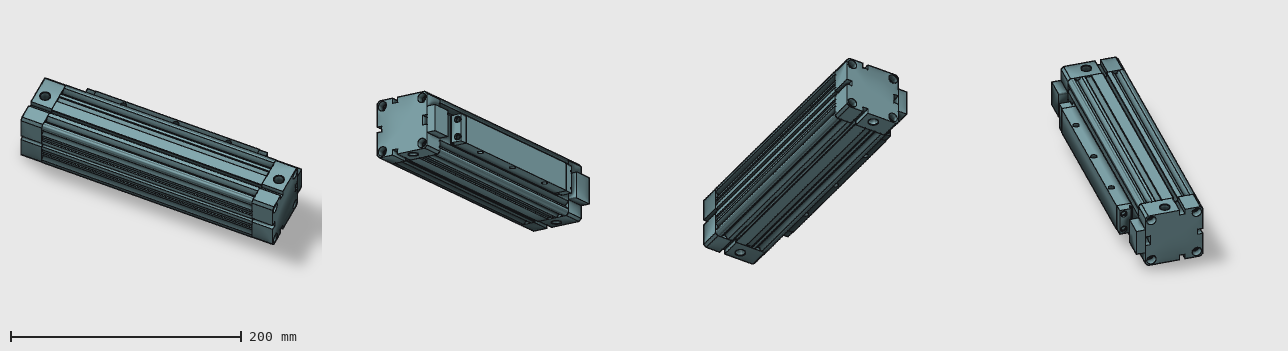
import cadquery as cq

total_length = 240.0
body_size = 52.0
half_body = body_size / 2
cap_length = 20.0
profile_length = total_length - 2 * cap_length

profile_corner_radius = 3.0
vee_offset = 17.0
vee_depth = 3.5
channel_inner = 4.8
channel_outer = 10.5
channel_inner_front = 6.2
channel_outer_front = 11.0
channel_depth = 1.5
slot_offset = -7.5
front_slot_width = 3.5
front_slot_depth = 4.5
bore_diameter = 4.3
bore_depth = 4.5
bore_mouth = 3.4

cap_chamfer = 2.5
cap_slot_width = 5.0
cap_slot_depth = 4.8
bracket_slot_width = 9.0
bracket_slot_depth = 4.5
screw_offset = 20.6
screw_hole_diameter = 5.8
counterbore_diameter = 8.5
counterbore_depth = 7.2
port_diameter = 8.5
port_chamfer = 0.5
port_offset_y = 5.8
port_from_end = 8.6

bracket_height = 24.0
bracket_thickness = 8.5
bracket_edge_radius = 0.7

carriage_height = 25.0
block_length = 155.8
block_thickness = 13.0
block_hole_diameter = 5.3
block_hole_pitch = 50.0
block_hole_count = 3
carriage_hole_height = 8.6
carriage_hole_y = half_body + carriage_hole_height
plate_length = 8.0
plate_thickness = 12.5
plate_lift = 2.5
plate_foot = 5.3
lip_height = 1.2
undercut_start = 3.8
undercut_end = 3.0
undercut_height = 2.0
plate_bore_diameter = 5.8
plate_bore_depth = 2.0
plate_hole_diameter = 3.8
plate_hole_offset = 8.0


def x_box(x_start, length, y_range, z_range):
    """Box given by its start and length in X and its limits in Y and Z."""
    y_low, y_high = y_range
    z_low, z_high = z_range
    return (
        cq.Workplane("XY")
        .box(length, y_high - y_low, z_high - z_low, centered=False)
        .translate((x_start, y_low, z_low))
    )


def x_section(x_start):
    """Workplane across the unit, with local axes Y and Z."""
    return cq.Workplane("YZ", origin=(x_start, 0, 0))


def both_z(tool):
    """The tool together with its mirror image below the XY plane."""
    return tool.union(tool.mirror("XY"))


def vee_grooves():
    """The eight V-grooves, two in each side of the profile."""
    grooves = cq.Workplane("XY")
    for angle in (0, 90, 180, 270):
        for offset in (-vee_offset, vee_offset):
            groove = (
                x_section(-profile_length / 2)
                .polyline([
                    (offset - vee_depth, half_body),
                    (offset + vee_depth, half_body),
                    (offset, half_body - vee_depth),
                ])
                .close()
                .extrude(profile_length)
            )
            grooves = grooves.add(groove.rotate((0, 0, 0), (1, 0, 0), angle))
    return grooves.combine()


def shallow_channels():
    """Shallow channels in the top, the bottom and the -Y side."""
    start = -profile_length / 2
    floor = half_body - channel_depth
    top = x_box(start, profile_length, (channel_inner, channel_outer), (floor, half_body))
    front = x_box(start, profile_length, (-half_body, -floor), (channel_inner_front, channel_outer_front))
    return both_z(top.union(front))


def front_slot():
    """Round-bottomed slot along the middle of the -Y side."""
    radius = front_slot_width / 2
    centre_y = -half_body + front_slot_depth - radius
    return (
        x_section(-profile_length / 2)
        .moveTo(-half_body, -radius)
        .lineTo(centre_y, -radius)
        .threePointArc((centre_y + radius, 0), (centre_y, radius))
        .lineTo(-half_body, radius)
        .close()
        .extrude(profile_length)
    )


def keyhole_slots():
    """Slots in the top and bottom: a round bore with a narrower mouth."""
    start = -profile_length / 2
    centre_z = half_body - bore_depth + bore_diameter / 2
    bore = x_section(start).center(slot_offset, centre_z).circle(bore_diameter / 2).extrude(profile_length)
    mouth = x_box(
        start,
        profile_length,
        (slot_offset - bore_mouth / 2, slot_offset + bore_mouth / 2),
        (centre_z, half_body),
    )
    return both_z(bore.union(mouth))


def make_profile():
    bar = (
        x_section(-profile_length / 2)
        .rect(body_size, body_size)
        .extrude(profile_length)
        .edges("|X")
        .fillet(profile_corner_radius)
    )
    return bar.cut(vee_grooves()).cut(shallow_channels()).cut(front_slot()).cut(keyhole_slots())


def make_left_cap():
    start = -total_length / 2
    half_slot = cap_slot_width / 2
    cap = (
        x_section(start)
        .rect(body_size, body_size)
        .extrude(cap_length)
        .edges("|X")
        .chamfer(cap_chamfer)
    )
    top_slot = x_box(
        start,
        cap_length,
        (slot_offset - half_slot, slot_offset + half_slot),
        (half_body - cap_slot_depth, half_body),
    )
    side_slot = x_box(
        start, cap_length, (-half_body, -half_body + cap_slot_depth), (-half_slot, half_slot)
    )
    bracket_slot = x_box(
        start,
        cap_length,
        (half_body - bracket_slot_depth, half_body),
        (-bracket_slot_width / 2, bracket_slot_width / 2),
    )
    cap = cap.cut(both_z(top_slot)).cut(side_slot).cut(bracket_slot)

    screw_places = x_section(start).rect(2 * screw_offset, 2 * screw_offset, forConstruction=True).vertices()
    cap = cap.cut(screw_places.circle(screw_hole_diameter / 2).extrude(cap_length))
    cap = cap.cut(screw_places.circle(counterbore_diameter / 2).extrude(counterbore_depth))

    port = (
        cq.Workplane("XY", origin=(start + port_from_end, port_offset_y, -half_body))
        .circle(port_diameter / 2)
        .extrude(body_size)
    )
    port_flare = (
        cq.Workplane("XY", origin=(start + port_from_end, port_offset_y, half_body))
        .circle(port_diameter / 2 + port_chamfer)
        .workplane(offset=-port_chamfer)
        .circle(port_diameter / 2)
        .loft()
    )
    return cap.cut(port).cut(both_z(port_flare))


def make_left_bracket():
    return (
        x_box(
            -total_length / 2,
            cap_length,
            (half_body, half_body + bracket_thickness),
            (-bracket_height / 2, bracket_height / 2),
        )
        .faces(">X")
        .edges("|Y")
        .fillet(bracket_edge_radius)
    )


def make_carriage_block():
    block = x_box(
        -block_length / 2,
        block_length,
        (half_body, half_body + block_thickness),
        (-carriage_height / 2, carriage_height / 2),
    )
    holes = (
        cq.Workplane("XY", origin=(0, carriage_hole_y, -carriage_height / 2))
        .rarray(block_hole_pitch, 2.5, block_hole_count, 1)
        .circle(block_hole_diameter / 2)
        .extrude(carriage_height)
    )
    return block.cut(holes)


def make_left_end_plate():
    """End plate of the carriage, undercut outside its foot, with a wiper lip at the bottom."""
    inner_x = -block_length / 2
    outer_x = inner_x - plate_length
    foot_x = inner_x - plate_foot
    underside = half_body + plate_lift
    plate = (
        cq.Workplane("XY", origin=(0, 0, -carriage_height / 2))
        .polyline([
            (inner_x, half_body),
            (inner_x, half_body + plate_thickness),
            (outer_x, half_body + plate_thickness),
            (outer_x, underside),
            (inner_x - undercut_start, underside),
            (inner_x - undercut_end, half_body + undercut_height),
            (foot_x, half_body + lip_height),
            (foot_x, half_body),
        ])
        .close()
        .extrude(carriage_height)
    )
    hole_places = x_section(outer_x).pushPoints([
        (carriage_hole_y, -plate_hole_offset),
        (carriage_hole_y, plate_hole_offset),
    ])
    plate = plate.cut(hole_places.circle(plate_hole_diameter / 2).extrude(plate_length))
    return plate.cut(hole_places.circle(plate_bore_diameter / 2).extrude(plate_bore_depth))


def both_ends(left_body):
    """Solid of a left-hand body and of its mirror image at the right-hand end."""
    return [left_body.val(), left_body.mirror("YZ").val()]


profile = make_profile()
caps = both_ends(make_left_cap())
brackets = both_ends(make_left_bracket())
carriage_block = make_carriage_block()
end_plates = both_ends(make_left_end_plate())

result = cq.Compound.makeCompound([
    profile.val(),
    *caps,
    *brackets,
    carriage_block.val(),
    *end_plates,
])